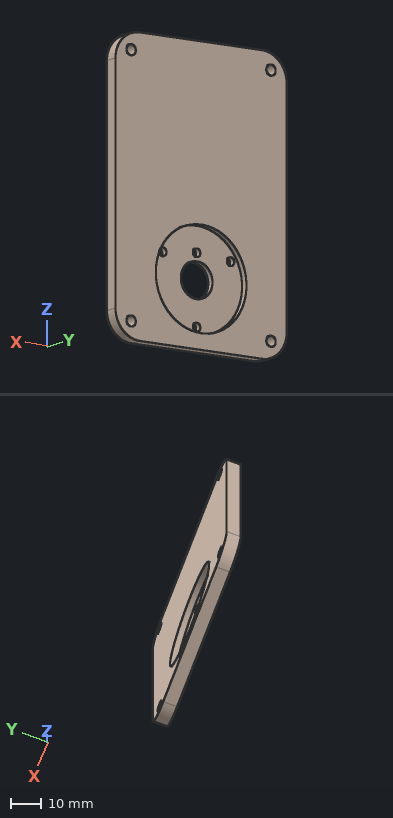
import cadquery as cq
import math

height = 105.0
width = 69.8
thickness = 5.0
corner_radius = 10.0

mount_diameter = 3.8
mount_edge_offset = 6.4

bore_diameter = 12.8
bore_z = -28.4
recess_diameter = 37.0
recess_depth = thickness / 2

small_diameter = 2.9
small_circle_radius = 16.0
small_circle_angles = (30, 150, 270)
upper_hole_rise = 9.3


def back_cylinders(diameter, points, depth):
    """Cylinders entering from the back face, at (x, z) points, to the given depth."""
    return (
        cq.Workplane("XZ", origin=(0, thickness / 2, 0))
        .pushPoints(points)
        .circle(diameter / 2)
        .extrude(depth)
    )


plate = cq.Workplane("XY").box(width, thickness, height).edges("|Y").fillet(corner_radius)

mount_x = width / 2 - mount_edge_offset
mount_z = height / 2 - mount_edge_offset
mount_points = [(sx * mount_x, sz * mount_z) for sx in (-1, 1) for sz in (-1, 1)]

bore_points = [(0, bore_z)]

small_points = [(0, bore_z + upper_hole_rise)]
for angle in small_circle_angles:
    x = small_circle_radius * math.cos(math.radians(angle))
    z = bore_z + small_circle_radius * math.sin(math.radians(angle))
    small_points.append((x, z))

result = (
    plate
    .cut(back_cylinders(recess_diameter, bore_points, recess_depth))
    .cut(back_cylinders(bore_diameter, bore_points, thickness))
    .cut(back_cylinders(small_diameter, small_points, thickness))
    .cut(back_cylinders(mount_diameter, mount_points, thickness))
)